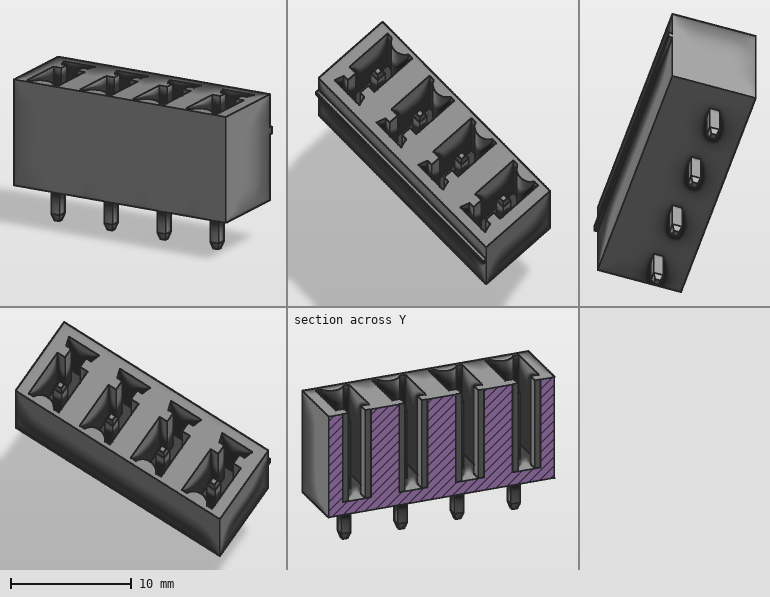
import cadquery as cq

POLES = 4
PITCH = 5.08
HOUSING_LENGTH = POLES * PITCH
HOUSING_DEPTH = 7.25
HOUSING_HEIGHT = 9.2

RIB_PROJECTION = 0.3
RIB_HEIGHT = 0.6
RIB_TOP_DROP = 2.9

CAVITY_DEPTH = 8.0
CAVITY_WIDTH = 3.0
CAVITY_FRONT = 0.4
SHOULDER_Y = 4.7
NECK_WIDTH = 1.5
NECK_END_Y = 5.6
DOVETAIL_ROOT_WIDTH = 2.5
DOVETAIL_END_WIDTH = 3.0
DOVETAIL_END_Y = 6.4
KEY_CHORD = 2.0
KEY_BULGE = 0.6

PIN_SIZE = 0.84
PIN_TIP_SIZE = 0.45
PIN_TIP_LENGTH = 0.6
PIN_PROJECTION = 3.4
PIN_TOP_DROP = 1.4
PIN_Y = 2.9


def pole_positions():
    """X of each contact, with the housing centred on X = 0."""
    first = -HOUSING_LENGTH / 2 + PITCH / 2
    return [first + pole * PITCH for pole in range(POLES)]


def make_housing():
    block = cq.Workplane("XY").box(
        HOUSING_LENGTH, HOUSING_DEPTH, HOUSING_HEIGHT, centered=(True, False, False)
    )
    rib = (
        cq.Workplane("XY")
        .box(HOUSING_LENGTH, RIB_PROJECTION, RIB_HEIGHT, centered=(True, False, False))
        .translate((0, HOUSING_DEPTH, HOUSING_HEIGHT - RIB_TOP_DROP - RIB_HEIGHT))
    )
    return block.union(rib)


def make_cavity(x):
    """Blind plug cavity: a box with a round front key, a neck and a dovetail at the rear."""
    half_width = CAVITY_WIDTH / 2
    half_neck = NECK_WIDTH / 2
    half_root = DOVETAIL_ROOT_WIDTH / 2
    half_dovetail = DOVETAIL_END_WIDTH / 2
    half_key = KEY_CHORD / 2
    return (
        cq.Workplane("XY")
        .moveTo(-half_width, CAVITY_FRONT)
        .lineTo(-half_key, CAVITY_FRONT)
        .threePointArc((0, CAVITY_FRONT + KEY_BULGE), (half_key, CAVITY_FRONT))
        .lineTo(half_width, CAVITY_FRONT)
        .lineTo(half_width, SHOULDER_Y)
        .lineTo(half_neck, SHOULDER_Y)
        .lineTo(half_neck, NECK_END_Y)
        .lineTo(half_root, NECK_END_Y)
        .lineTo(half_dovetail, DOVETAIL_END_Y)
        .lineTo(-half_dovetail, DOVETAIL_END_Y)
        .lineTo(-half_root, NECK_END_Y)
        .lineTo(-half_neck, NECK_END_Y)
        .lineTo(-half_neck, SHOULDER_Y)
        .lineTo(-half_width, SHOULDER_Y)
        .close()
        .extrude(CAVITY_DEPTH)
        .translate((x, 0, HOUSING_HEIGHT - CAVITY_DEPTH))
    )


def make_pin(x):
    """Square pin with a tapered tip at each end."""
    shank_bottom = -PIN_PROJECTION + PIN_TIP_LENGTH
    shank_top = HOUSING_HEIGHT - PIN_TOP_DROP - PIN_TIP_LENGTH
    pin = (
        cq.Workplane("XY", origin=(x, PIN_Y, shank_bottom))
        .rect(PIN_SIZE, PIN_SIZE)
        .extrude(shank_top - shank_bottom)
    )
    for base_z, direction in ((shank_bottom, -1), (shank_top, 1)):
        tip = (
            cq.Workplane("XY", origin=(x, PIN_Y, base_z))
            .rect(PIN_SIZE, PIN_SIZE)
            .workplane(offset=direction * PIN_TIP_LENGTH)
            .rect(PIN_TIP_SIZE, PIN_TIP_SIZE)
            .loft(ruled=True)
        )
        pin = pin.union(tip)
    return pin


result = make_housing()
for pole_x in pole_positions():
    result = result.cut(make_cavity(pole_x)).union(make_pin(pole_x))